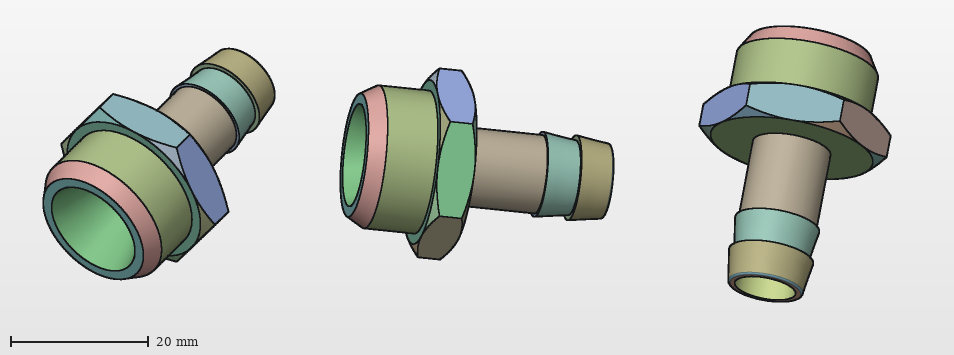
import cadquery as cq
import math

thread_length = 10.0
thread_diameter = 20.95
thread_end_diameter = 18.08
thread_chamfer_length = 2.5

hex_across_flats = 24.0
hex_thickness = 5.48
hex_chamfer_angle = 30.0

stem_length = 12.0
stem_diameter = 11.5

barb_count = 2
barb_diameter = 12.5
barb_small_diameter = 11.0
total_length = 37.5
tip_fillet = 0.35

bore_diameter = 9.0
mouth_diameter = 15.0
mouth_depth = 8.32

hex_end = thread_length + hex_thickness
stem_end = hex_end + stem_length
barb_length = (total_length - stem_end) / barb_count


def revolve_profile(points):
    """Revolve an outline of (radius, axial position) points about Y."""
    return cq.Workplane("XY").polyline(points).close().revolve(360, (0, 0), (0, 1))


def make_threaded_end():
    return revolve_profile([
        (0, 0),
        (thread_end_diameter / 2, 0),
        (thread_diameter / 2, thread_chamfer_length),
        (thread_diameter / 2, thread_length),
        (0, thread_length),
    ])


def make_hex():
    """Hexagon with corners on X, its corners cut by a cone on both faces."""
    flat_radius = hex_across_flats / 2
    corner_radius = flat_radius / math.cos(math.radians(30))
    corner_drop = (corner_radius - flat_radius) * math.tan(math.radians(hex_chamfer_angle))
    prism = (
        cq.Workplane("XZ", origin=(0, thread_length, 0))
        .polygon(6, 2 * corner_radius)
        .extrude(-hex_thickness)
    )
    envelope = revolve_profile([
        (0, thread_length),
        (flat_radius, thread_length),
        (corner_radius, thread_length + corner_drop),
        (corner_radius, hex_end - corner_drop),
        (flat_radius, hex_end),
        (0, hex_end),
    ])
    return prism.intersect(envelope)


def make_stem():
    return revolve_profile([
        (0, hex_end),
        (stem_diameter / 2, hex_end),
        (stem_diameter / 2, stem_end),
        (0, stem_end),
    ])


def make_barb(start):
    """One hose barb, tapering away from the hexagon."""
    return revolve_profile([
        (0, start),
        (barb_diameter / 2, start),
        (barb_small_diameter / 2, start + barb_length),
        (0, start + barb_length),
    ])


def make_bore():
    """Through bore with a conical mouth at the thread end."""
    return revolve_profile([
        (0, 0),
        (mouth_diameter / 2, 0),
        (bore_diameter / 2, mouth_depth),
        (bore_diameter / 2, total_length),
        (0, total_length),
    ])


body = make_threaded_end().union(make_hex()).union(make_stem())
for index in range(barb_count):
    body = body.union(make_barb(stem_end + index * barb_length))

body = body.faces(">Y").edges().fillet(tip_fillet)
result = body.cut(make_bore())